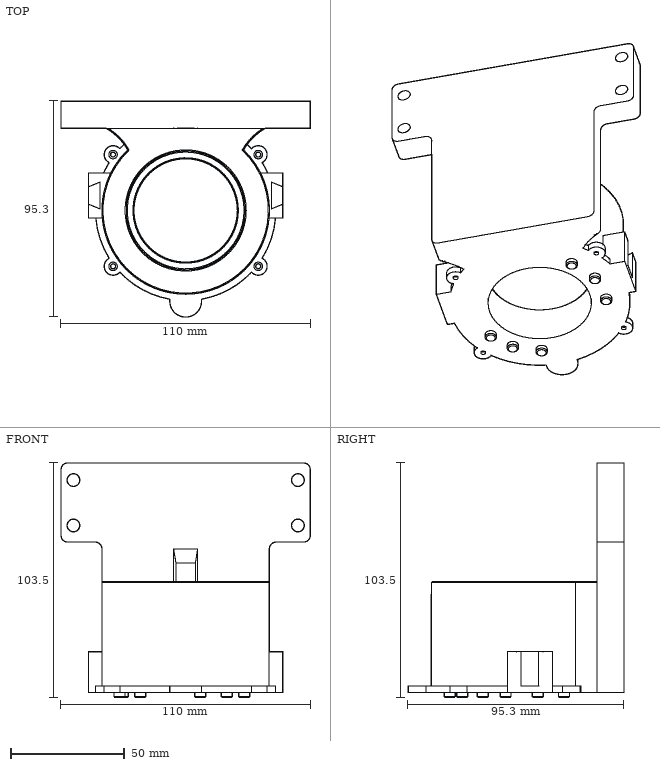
import cadquery as cq
import math


plate_width = 110.0
plate_back_y = 48.2
plate_thickness = 12.0
plate_front_y = plate_back_y - plate_thickness
plate_top_z = 101.3
plate_head_height = 35.0
plate_shoulder_z = plate_top_z - plate_head_height
plate_corner_radius = 3.0
mount_hole_diameter = 5.5
mount_hole_x = 49.5
mount_hole_top_drop = 7.6
mount_hole_pitch = 20.0

pocket_mouth_width = 10.6
pocket_floor_width = 8.6
pocket_mouth_top_z = 63.2
pocket_floor_top_z = 57.2
pocket_depth = 8.9

housing_radius = 37.0
housing_height = 49.0
edge_chamfer = 0.5
neck_half_width = 35.6
neck_relief_radius = 25.0
neck_relief_x = 47.3
neck_relief_y = 14.4

bore_diameter = 52.5
bore_floor_z = 18.0
through_diameter = 45.5

flange_radius = 39.8
flange_thickness = 3.0
tab_radius = 7.0
tab_tip_y = -47.1
ear_radius = 4.0
ear_x = 32.0
ear_y = 24.6
ear_hole_diameter = 2.1
ear_counterbore_diameter = 3.7
ear_counterbore_depth = 1.5

clip_half_span = 42.9
clip_width = 19.9
clip_center_y = 6.6
clip_height = 18.0
clip_inner_x = 27.5
slot_depth = 5.1
slot_mouth_width = 7.7
slot_base_width = 11.8

pin_diameter = 5.0
pin_height = 2.2
pin_circle_radius = 29.5
pin_angles = [132.8, 160.0, 188.0, 282.6, 308.0, 331.3]


def cylinder(radius, height, bottom_z=0.0, center=(0.0, 0.0)):
    return cq.Workplane("XY", origin=(*center, bottom_z)).circle(radius).extrude(height)


def make_plate():
    head_half = plate_width / 2
    outline = [
        (-housing_radius, 0),
        (housing_radius, 0),
        (housing_radius, plate_shoulder_z),
        (head_half, plate_shoulder_z),
        (head_half, plate_top_z),
        (-head_half, plate_top_z),
        (-head_half, plate_shoulder_z),
        (-housing_radius, plate_shoulder_z),
    ]
    plate = (
        cq.Workplane("XZ", origin=(0, plate_back_y, 0))
        .polyline(outline)
        .close()
        .extrude(plate_thickness)
        .edges("|Y")
        .fillet(plate_corner_radius)
    )
    upper_hole_z = plate_top_z - mount_hole_top_drop
    hole_points = [
        (side * mount_hole_x, upper_hole_z - row * mount_hole_pitch)
        for side in (-1, 1)
        for row in (0, 1)
    ]
    holes = (
        cq.Workplane("XZ", origin=(0, plate_back_y, 0))
        .pushPoints(hole_points)
        .circle(mount_hole_diameter / 2)
        .extrude(plate_thickness)
    )
    return plate.cut(holes)


def make_pocket():
    mouth_height = 2 * (pocket_mouth_top_z - housing_height)
    floor_height = 2 * (pocket_floor_top_z - housing_height)
    return (
        cq.Workplane("XZ", origin=(0, plate_front_y, housing_height))
        .rect(pocket_mouth_width, mouth_height)
        .workplane(offset=-pocket_depth)
        .rect(pocket_floor_width, floor_height)
        .loft(ruled=True)
    )


def revolve_profile(profile):
    return cq.Workplane("XZ").polyline(profile).close().revolve(360, (0, 0), (0, 1))


def make_housing():
    barrel = cylinder(housing_radius, housing_height).faces(">Z").edges().chamfer(edge_chamfer)
    neck = cq.Workplane("XY").box(
        2 * neck_half_width, plate_front_y, housing_height, centered=(True, False, False)
    )
    relief = revolve_profile(
        [
            (0, 0),
            (neck_relief_radius, 0),
            (neck_relief_radius, housing_height - edge_chamfer),
            (neck_relief_radius + edge_chamfer, housing_height),
            (0, housing_height),
        ]
    )
    for side in (-1, 1):
        neck = neck.cut(relief.translate((side * neck_relief_x, neck_relief_y, 0)))
    return barrel.union(neck)


def make_flange():
    flange = cylinder(flange_radius, flange_thickness)
    tab_center = (0, tab_tip_y + tab_radius)
    flange = flange.union(cylinder(tab_radius, flange_thickness, center=tab_center))
    for center in ear_centers():
        flange = flange.union(cylinder(ear_radius, flange_thickness, center=center))
    return flange


def ear_centers():
    return [(sx * ear_x, sy * ear_y) for sx in (-1, 1) for sy in (-1, 1)]


def make_clip():
    length = clip_half_span - clip_inner_x
    block = cq.Workplane("XY").box(length, clip_width, clip_height, centered=(False, True, False))
    slot = (
        cq.Workplane("XY", origin=(0, 0, flange_thickness))
        .polyline(
            [
                (length, slot_mouth_width / 2),
                (length, -slot_mouth_width / 2),
                (length - slot_depth, -slot_base_width / 2),
                (length - slot_depth, slot_base_width / 2),
            ]
        )
        .close()
        .extrude(clip_height)
    )
    return block.cut(slot).translate((clip_inner_x, clip_center_y, 0))


def make_bore():
    through_radius = through_diameter / 2
    bore_radius = bore_diameter / 2
    profile = [
        (0, 0),
        (through_radius, 0),
        (through_radius, bore_floor_z - edge_chamfer),
        (through_radius + edge_chamfer, bore_floor_z),
        (bore_radius - edge_chamfer, bore_floor_z),
        (bore_radius, bore_floor_z + edge_chamfer),
        (bore_radius, housing_height - edge_chamfer),
        (bore_radius + edge_chamfer, housing_height),
        (0, housing_height),
    ]
    return revolve_profile(profile)


def make_ear_hole(center):
    hole = cylinder(ear_hole_diameter / 2, flange_thickness, center=center)
    seat_z = flange_thickness - ear_counterbore_depth
    seat = cylinder(ear_counterbore_diameter / 2, ear_counterbore_depth, seat_z, center)
    return hole.union(seat)


def make_pin(angle):
    direction = math.radians(angle)
    center = (pin_circle_radius * math.cos(direction), pin_circle_radius * math.sin(direction))
    pin = cylinder(pin_diameter / 2, pin_height + flange_thickness, -pin_height, center)
    return pin.faces("<Z").edges().chamfer(edge_chamfer)


clip = make_clip()
result = make_plate().cut(make_pocket()).union(make_housing()).union(make_flange())
result = result.union(clip).union(clip.mirror("YZ"))
result = result.cut(make_bore())
for center in ear_centers():
    result = result.cut(make_ear_hole(center))
for angle in pin_angles:
    result = result.union(make_pin(angle))